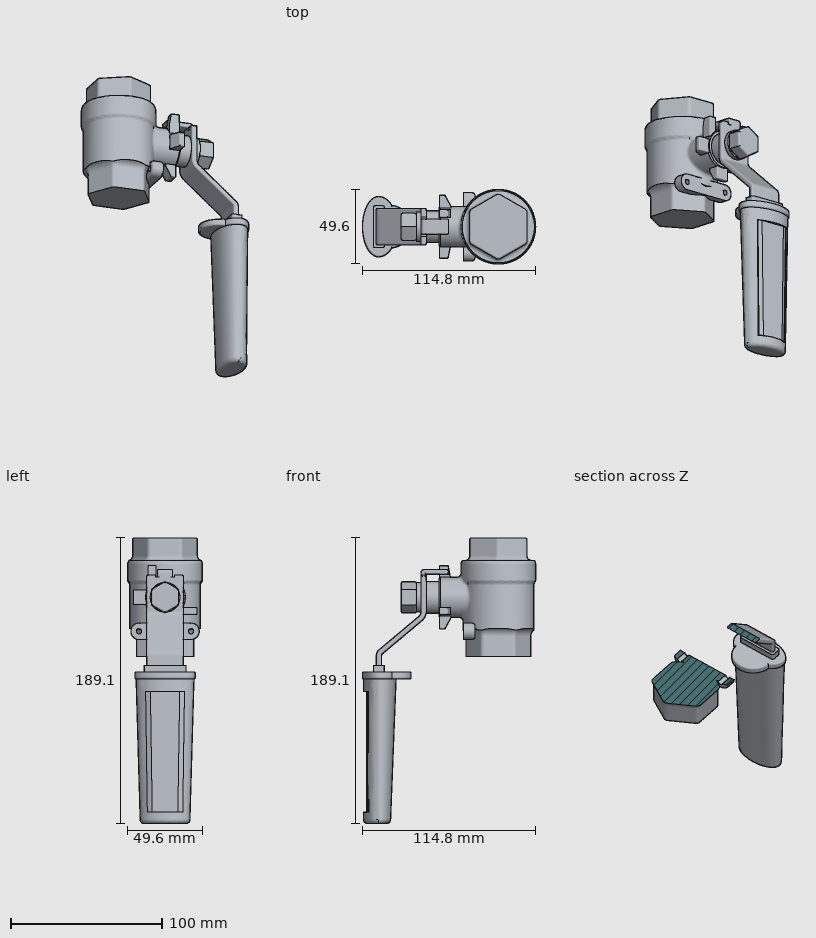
import cadquery as cq
import math


total_h = 189.1
pick_margin = 0.2

body_r = 23.5
collar_r = 24.8
body_top_z = 39.3
body_bottom_z = -39.3
collar_top_z = 24.4
collar_bottom_z = 11.3
shoulder_z = -20.5
collar_dome_z = 25.7
collar_dome_round = 3.8
collar_step_h = 3.0
hex_clear_r = 22.3
hex_flats = 38.0
hex_corner_round = 3.0
top_hex_round = 1.3
top_flare = 3.0
bottom_flare = 5.5

neck_r = 13.5
neck_end_x = -39.3
neck_chamfer = 1.0
neck_blend = 2.3
stem_r = 10.5
washer_r = 9.8
washer_t = 3.0
nut_flats = 18.0
nut_t = 10.0
nut_round = 1.1

fin_front_x = -39.0
fin_tip = 21.0
post_w = 5.3
post_y = 8.7
post_tip_x = -33.1
post_base_x = -31.8
wing_w = 9.8
wing_tip_x = -35.4
wing_base_x = -31.2
stop_w = 5.0
stop_z = -9.0
stop_tip_x = -33.3
fin_round = 0.8

lug_front_x = -23.0
lug_t = 7.8
lug_z = -22.5
lug_r = 5.5
lug_hole_y = 17.2
lug_hole_r = 1.7
lug_back_round = 2.3

lever_w = 24.4
lever_t = 3.5
lever_outer_x = -51.3
lever_low_x = -79.0
lever_top_z = 14.8
bend_high_z = -12.3
lever_tilt = 50
bend_high_inner_r = 4.5
bend_low_inner_r = 1.5
lever_edge_round = 1.1
tongue_w = 10.0
tongue_t = 3.4
tongue_top_z = 18.5
tongue_tip_x = -33.0
tongue_bend_r = 2.5
tongue_round = 1.0
relief_w = 1.3
relief_z = 13.5

grip_x = -79.2
flange_top_z = -49.4
flange_t = 4.7
grip_bottom_z = body_top_z - total_h
grip_front_depth = 10.0
grip_back_top = 11.7
grip_back_bottom = 8.0
grip_half_w_top = 19.3
grip_half_w_bottom = 16.5
grip_bottom_round = 2.6
flange_lip = 0.8
flange_round = 1.1
guard_r = 14.2
guard_x = -71.9
socket_x = 7.4
socket_y = 27.8
socket_h = 4.3
socket_round = 1.3
panel_depth = 2.0
panel_edge_depth = 0.66
panel_half_w_top = 12.9
panel_half_w_bottom = 11.7
panel_top_z = -62.5
panel_bottom_z = -142.2

lever_x = lever_outer_x + lever_t / 2
flange_bottom_z = flange_top_z - flange_t


def hex_prism(flats, turn, z_low, z_high):
    """Upright hexagonal prism with rounded corners."""
    corners = flats / math.cos(math.pi / 6)
    prism = cq.Workplane("XY").workplane(offset=z_low).polygon(6, corners).extrude(z_high - z_low)
    return prism.rotate((0, 0, 0), (0, 0, 1), turn).edges("|Z").fillet(hex_corner_round)


def flared_hex(turn, z_plate, z_end, flare):
    """Hexagon rising from a wide thick plate, with a concave blend between them."""
    plate_r = 2 * body_r
    plate = cq.Workplane("XY").circle(plate_r).extrude(z_plate)
    block = plate.union(hex_prism(hex_flats, turn, 0, z_end))
    reach = hex_flats / math.sqrt(3)
    around_foot = cq.selectors.BoxSelector(
        (-reach, -reach, z_plate - pick_margin), (reach, reach, z_plate + pick_margin)
    )
    return block.edges(around_foot).fillet(flare)


def cylinder_z(radius, z_low, z_high):
    return cq.Workplane("XY").workplane(offset=z_low).circle(radius).extrude(z_high - z_low)


def cylinder_x(radius, x_low, x_high):
    return cq.Workplane("YZ").workplane(offset=x_low).circle(radius).extrude(x_high - x_low)


def make_collar_step():
    """Ring with an S-shaped flank leading from the barrel out to the collar."""
    low_z = collar_bottom_z - collar_step_h
    return (
        cq.Workplane("XZ").moveTo(0, low_z).lineTo(body_r, low_z)
        .spline([(collar_r, collar_bottom_z)], tangents=[(0, 1), (0, 1)], includeCurrent=True)
        .lineTo(0, collar_bottom_z).close().revolve(360, (0, 0, 0), (0, 1, 0))
    )


def make_body():
    """Collar and barrel between two wrench hexagons turned 30 degrees to each other."""
    top = flared_hex(30, collar_top_z, body_top_z, top_flare)
    top = top.faces(">Z").edges().fillet(top_hex_round)
    collar = cylinder_z(collar_r, collar_bottom_z, collar_dome_z)
    collar = collar.faces(">Z").edges().fillet(collar_dome_round)
    hex_room = cylinder_z(hex_clear_r, collar_bottom_z, body_top_z)
    collar = collar.union(hex_room).intersect(top)

    bottom = flared_hex(0, -shoulder_z, -body_bottom_z, bottom_flare)
    bottom = bottom.rotate((0, 0, 0), (1, 0, 0), 180)
    lower_barrel = cylinder_z(body_r, body_bottom_z, 0).intersect(bottom)
    neck = cylinder_x(neck_r, neck_end_x, 0).faces("<X").edges().chamfer(neck_chamfer)
    barrel = cylinder_z(body_r, 0, collar_bottom_z).union(lower_barrel)
    body = barrel.union(collar).union(make_collar_step()).union(neck)
    foot_of_neck = cq.selectors.BoxSelector((-collar_r, -neck_r, -neck_r), (-body_r / 2, neck_r, neck_r))
    return body.edges(foot_of_neck).fillet(neck_blend)


def make_lugs():
    """Pair of ears on the front of the barrel, each with a blind hole."""
    length = 2 * (lug_hole_y + lug_r)
    plate = cq.Workplane("YZ").workplane(offset=lug_front_x).center(0, lug_z)
    plate = plate.slot2D(length, 2 * lug_r).extrude(lug_t)
    plate = plate.faces(">X").edges().fillet(lug_back_round)
    holes = cq.Workplane("YZ").workplane(offset=lug_front_x).center(0, lug_z)
    holes = holes.pushPoints([(-lug_hole_y, 0), (lug_hole_y, 0)]).circle(lug_hole_r).extrude(lug_t)
    return plate, holes


def make_fin(angle, width, offset, tip_x, base_x):
    """Fin with a sloped back, built pointing up, then turned about the stem axis by angle."""
    outline = [(fin_front_x, 0), (fin_front_x, fin_tip), (tip_x, fin_tip), (base_x, neck_r), (base_x, 0)]
    fin = cq.Workplane("XZ").workplane(offset=-offset - width / 2).polyline(outline).close().extrude(width)
    fin = fin.faces(">Z or <X").edges(">Z or |Z").fillet(fin_round)
    return fin.rotate((0, 0, 0), (1, 0, 0), angle)


def make_stem():
    """Stem, washer and nut in front of the neck."""
    washer_x = lever_outer_x - washer_t
    nut_x = washer_x - nut_t
    stem = cylinder_x(stem_r, lever_x, 0)
    washer = cylinder_x(washer_r, washer_x, lever_x)
    nut_corners = nut_flats / math.cos(math.pi / 6)
    nut = cq.Workplane("YZ").workplane(offset=nut_x).polygon(6, nut_corners).extrude(nut_t)
    nut = nut.rotate((0, 0, 0), (1, 0, 0), 90).faces("<X or >X").edges().fillet(nut_round)
    return stem.union(washer).union(nut)


def make_lever():
    """Cranked strip with rounded edges and a narrow tongue folded back at its top."""
    run = lever_x - lever_low_x
    bend_low_z = bend_high_z - run / math.tan(math.radians(lever_tilt))
    half = lever_t / 2
    shift = half * math.tan(math.radians(lever_tilt / 2))
    outline = [
        (lever_x - half, lever_top_z),
        (lever_x - half, bend_high_z + shift),
        (lever_low_x - half, bend_low_z + shift),
        (lever_low_x - half, flange_bottom_z),
        (lever_low_x + half, flange_bottom_z),
        (lever_low_x + half, bend_low_z - shift),
        (lever_x + half, bend_high_z - shift),
        (lever_x + half, lever_top_z),
    ]
    strip = cq.Workplane("XZ").workplane(offset=-lever_w / 2).polyline(outline).close().extrude(lever_w)
    bends = ((1, 6, bend_high_inner_r), (5, 2, bend_low_inner_r))
    for inside, outside, inner_r in bends:
        for corner, radius in ((inside, inner_r), (outside, inner_r + lever_t)):
            x, z = outline[corner]
            at_corner = cq.selectors.BoxSelector(
                (x - pick_margin, -lever_w, z - pick_margin), (x + pick_margin, lever_w, z + pick_margin)
            )
            strip = strip.edges(at_corner).fillet(radius)
    strip = strip.faces("<Y or >Y").edges().fillet(lever_edge_round)

    relief_h = lever_top_z - relief_z
    relief = cq.Workplane("XY").box(2 * lever_t, tongue_w + 2 * relief_w, 2 * relief_h)
    strip = strip.cut(relief.translate((lever_x, 0, lever_top_z)))

    tongue = cq.Workplane("XZ").workplane(offset=-tongue_w / 2).polyline([
        (lever_x - half, relief_z - lever_t),
        (lever_x - half, tongue_top_z),
        (tongue_tip_x, tongue_top_z),
        (tongue_tip_x, tongue_top_z - tongue_t),
        (lever_x + half, tongue_top_z - tongue_t),
        (lever_x + half, relief_z - lever_t),
    ]).close().extrude(tongue_w)
    tongue = tongue.edges("|Y and <X and >Z").fillet(tongue_bend_r)
    tongue = tongue.faces("<Y or >Y").edges().fillet(tongue_round)
    return strip.union(tongue)


def half_space(side):
    """Large box covering everything in front of (-1) or behind (+1) the middle plane of the grip."""
    size = total_h
    return cq.Workplane("XY").box(size, size, 2 * size).translate((grip_x + side * size / 2, 0, 0))


def half_ellipse_flange(side, depth):
    flange = cq.Workplane("XY").workplane(offset=flange_bottom_z).center(grip_x, 0)
    flange = flange.ellipse(depth + flange_lip, grip_half_w_top + flange_lip).extrude(flange_t)
    return flange.edges().fillet(flange_round).intersect(half_space(side))


def half_grip(side, depth_top, depth_bottom, inset=0):
    """Tapered half-elliptic side of the grip with a rounded lower end, shrunk sideways by inset."""
    height = flange_bottom_z - grip_bottom_z + flange_t / 2
    grip = (
        cq.Workplane("XY").workplane(offset=grip_bottom_z).center(grip_x, 0)
        .ellipse(depth_bottom - inset, grip_half_w_bottom - inset)
        .workplane(offset=height).ellipse(depth_top - inset, grip_half_w_top - inset).loft(ruled=True)
    )
    return grip.faces("<Z").edges().fillet(grip_bottom_round).intersect(half_space(side))


def make_panel_recess():
    """Tapered recess in the front of the grip: flat in the middle, following the curve at its sides."""
    surface_x = grip_x - grip_front_depth
    outline = [
        (-panel_half_w_top, panel_top_z),
        (panel_half_w_top, panel_top_z),
        (panel_half_w_bottom, panel_bottom_z),
        (-panel_half_w_bottom, panel_bottom_z),
    ]
    front = cq.Workplane("YZ").workplane(offset=surface_x)
    middle = front.polyline(outline).close().extrude(panel_depth)
    sides = front.polyline(outline).close().extrude(grip_front_depth)
    sides = sides.cut(half_grip(-1, grip_front_depth, grip_front_depth, panel_edge_depth))
    return sides.union(middle)


def make_grip():
    """Grip with a flat front panel, a top flange with finger guard, and the lever socket."""
    grip = half_grip(-1, grip_front_depth, grip_front_depth)
    grip = grip.cut(make_panel_recess())
    grip = grip.union(half_grip(1, grip_back_top, grip_back_bottom))
    grip = grip.union(half_ellipse_flange(-1, grip_front_depth))
    grip = grip.union(half_ellipse_flange(1, grip_back_top))
    guard = cylinder_z(guard_r, flange_bottom_z, flange_top_z).edges().fillet(flange_round)
    guard = guard.translate((guard_x, 0, 0)).intersect(half_space(1))
    socket = cq.Workplane("XY").box(socket_x, socket_y, 2 * socket_h).edges("|Z").fillet(socket_round)
    return grip.union(guard).union(socket.translate((lever_low_x, 0, flange_top_z)))


lug_plate, lug_holes = make_lugs()
body = make_body().union(lug_plate).cut(lug_holes)
top_post = make_fin(0, post_w, post_y, post_tip_x, post_base_x)
side_stop = make_fin(90, stop_w, stop_z, stop_tip_x, post_base_x)
body = body.union(top_post).union(side_stop)
for wing_angle in (-90, 180):
    body = body.union(make_fin(wing_angle, wing_w, 0, wing_tip_x, wing_base_x))
result = body.union(make_stem()).union(make_lever()).union(make_grip())